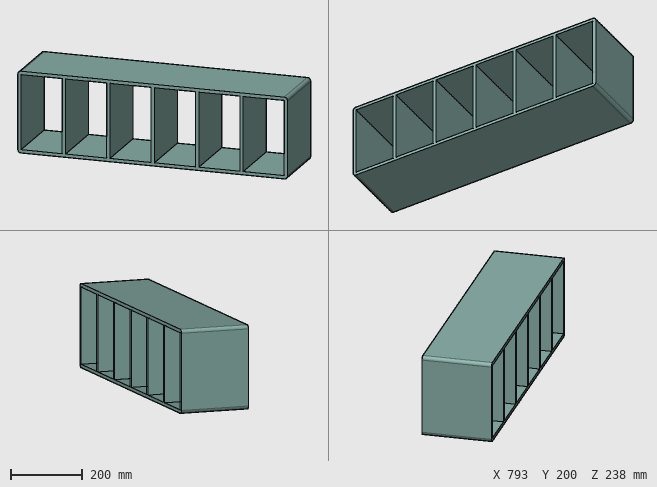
import cadquery as cq

length = 793.0
depth = 200.0
height = 238.0

wall = 10.0
corner_radius = 10.0
compartment_count = 6
compartment_width = (length - (compartment_count + 1) * wall) / compartment_count
compartment_height = height - 2 * wall
compartment_pitch = compartment_width + wall


def make_body():
    """Solid block with its four long outer edges rounded."""
    block = cq.Workplane("XY").box(length, depth, height)
    return block.edges("|Y").fillet(corner_radius)


def make_compartment(index):
    """Open-ended rectangular space, counted from the -X end."""
    center_x = (index - (compartment_count - 1) / 2) * compartment_pitch
    space = cq.Workplane("XY").box(compartment_width, depth, compartment_height)
    return space.translate((center_x, 0, 0))


result = make_body()
for compartment_index in range(compartment_count):
    result = result.cut(make_compartment(compartment_index))